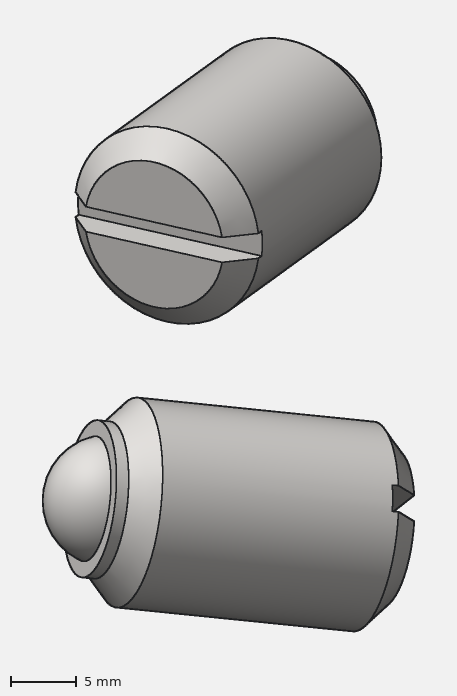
import cadquery as cq

overall_length = 27.5
body_diameter = 16.0
chamfer = 2.0
collar_length = 1.0
ball_radius = 5.0
ball_protrusion = 3.5
slot_width = 2.05
slot_depth = 2.5

body_radius = body_diameter / 2
collar_radius = body_radius - chamfer
body_length = overall_length - ball_protrusion
shoulder_y = body_length - collar_length
ball_center_y = overall_length - ball_radius


def make_ball():
    """Full ball, partly sunk into the body."""
    return cq.Workplane("XY").sphere(ball_radius).translate((0, ball_center_y, 0))


def make_slot():
    """Screwdriver slot running across the body along X."""
    return cq.Workplane("XY").box(
        body_diameter, slot_depth, slot_width, centered=(True, False, True)
    )


def make_body():
    """Bevelled cylinder with a collar, a driver slot and a socket fitting the ball."""
    profile = [
        (0, 0),
        (collar_radius, 0),
        (body_radius, chamfer),
        (body_radius, shoulder_y - chamfer),
        (collar_radius, shoulder_y),
        (collar_radius, body_length),
        (0, body_length),
    ]
    turned = cq.Workplane("XY").polyline(profile).close().revolve(360, (0, 0, 0), (0, 1, 0))
    return turned.cut(make_slot()).cut(make_ball()).solids()


body = make_body()
ball = make_ball()

result = cq.Compound.makeCompound([body.val(), ball.val()])